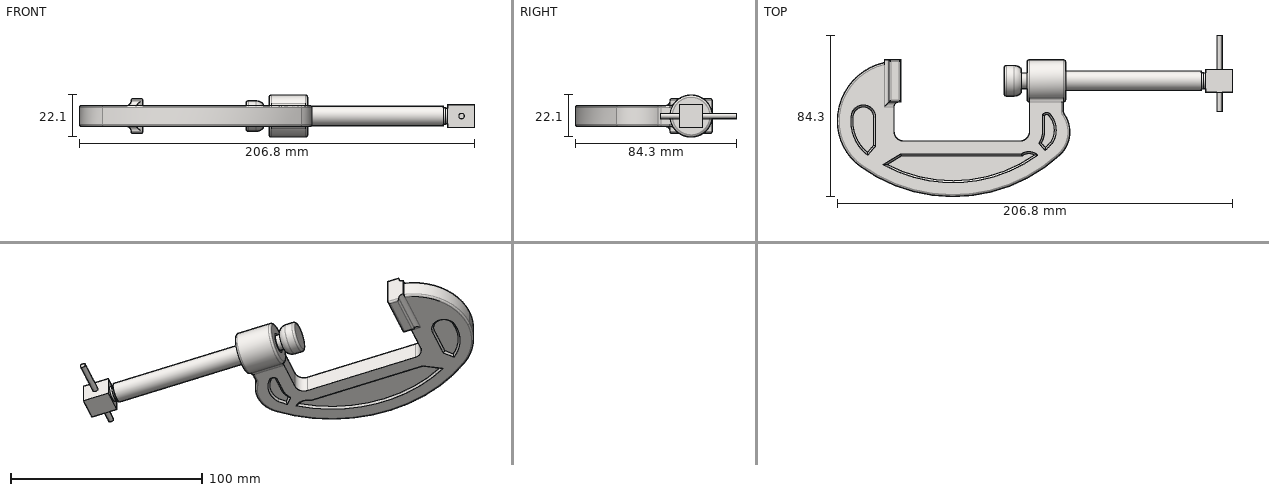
import cadquery as cq
import math


frame_thickness = 11.0
frame_half = frame_thickness / 2
rim_fillet = 1.0
root_fillet = 2.5
inner_left = 29.8
inner_right = 100.5
inner_floor = -31.5
inner_corner_radius = 5.0

bottom_arc_radius = 82.5
frame_bottom = -60.5
lower_left_angle = -126
lower_right_angle = -47.5
left_arc_radius = 29.4
jaw_arc_radius = 31.5
right_arc_radius = 16.5
bottom_arc_x = left_arc_radius - (bottom_arc_radius - left_arc_radius) * math.cos(math.radians(lower_left_angle))
bottom_arc_center = (bottom_arc_x, frame_bottom + bottom_arc_radius)
neck_x = 118.3
neck_fillet = root_fillet

boss_radius = 11.06
boss_edge_fillet = 1.2
boss_left = inner_right - boss_edge_fillet
boss_right = 119.5

jaw_back = 27.0
jaw_face = 33.3
jaw_half_width = boss_radius
jaw_half_height = frame_half + 3.62
jaw_edge_fillet = 1.0

pocket_depth = 1.0
pocket_wall_angle = 45
rim_width = 7.2
inner_margin = 6.8

screw_radius = 5.2
neck_radius = 4.1
pad_left = 87.2
pad_radius = 8.0
pad_edge_fillet = 1.2
pad_shoulder = 92.5
pad_right = 96.3
pad_back_radius = 6.2
pad_back_arc = 5.0
shaft_end = 190.5
groove_end = 191.5
groove_radius = 4.3
head_size = 12.0
head_length = 14.0
screw_right = 206.8
head_left = screw_right - head_length
bar_radius = 1.5
bar_x = 200.0
bar_top = 23.8
bar_length = 40.0


def cylinder_x(x_start, x_end, radius):
    """Round bar along the X axis."""
    return cq.Workplane("YZ").workplane(offset=x_start).circle(radius).extrude(x_end - x_start)


def box(x_start, x_end, y_start, y_end, half_height):
    """Block that is centred on Z = 0."""
    plan = cq.Workplane("XY").moveTo(x_start, y_start).lineTo(x_end, y_start)
    plan = plan.lineTo(x_end, y_end).lineTo(x_start, y_end).close()
    return plan.extrude(half_height, both=True)


def polar(center, radius, angle):
    """Point at an angle in degrees on a circle."""
    turn = math.radians(angle)
    return (center[0] + radius * math.cos(turn), center[1] + radius * math.sin(turn))


def tangent_center(center, radius, angle, next_radius):
    """Centre of the arc that continues smoothly from another arc at the given angle."""
    return polar(center, radius - next_radius, angle)


def make_plate():
    """C-shaped plate with a rounded outer rim."""
    left_center = tangent_center(bottom_arc_center, bottom_arc_radius, lower_left_angle, left_arc_radius)
    right_center = tangent_center(bottom_arc_center, bottom_arc_radius, lower_right_angle, right_arc_radius)
    jaw_center = tangent_center(left_center, left_arc_radius, 180, jaw_arc_radius)
    left_end = polar(left_center, left_arc_radius, 180)
    lower_left = polar(bottom_arc_center, bottom_arc_radius, lower_left_angle)
    lower_right = polar(bottom_arc_center, bottom_arc_radius, lower_right_angle)
    neck_angle = math.degrees(math.acos((neck_x - right_center[0]) / right_arc_radius))
    neck_corner = polar(right_center, right_arc_radius, neck_angle)
    jaw_angle = math.degrees(math.acos((inner_left - jaw_center[0]) / jaw_arc_radius))
    jaw_top = polar(jaw_center, jaw_arc_radius, jaw_angle)

    plate = (
        cq.Workplane("XY")
        .moveTo(*jaw_top)
        .threePointArc(polar(jaw_center, jaw_arc_radius, 135), left_end)
        .threePointArc(polar(left_center, left_arc_radius, -150), lower_left)
        .threePointArc(polar(bottom_arc_center, bottom_arc_radius, -90), lower_right)
        .threePointArc(polar(right_center, right_arc_radius, 0), neck_corner)
        .lineTo(neck_x, 0)
        .lineTo(inner_right, 0)
        .lineTo(inner_right, inner_floor)
        .lineTo(inner_left, inner_floor)
        .close()
        .extrude(frame_half, both=True)
    )
    plate = plate.edges(cq.NearestToPointSelector((*neck_corner, 0))).fillet(neck_fillet)
    for face in (">Z", "<Z"):
        plate = plate.faces(face).edges(cq.NearestToPointSelector((*lower_left, 0))).fillet(rim_fillet)
    corners = plate.edges(cq.NearestToPointSelector((inner_left, inner_floor, 0)))
    corners = corners.add(plate.edges(cq.NearestToPointSelector((inner_right, inner_floor, 0))))
    return corners.fillet(inner_corner_radius)


def make_jaw():
    """Jaw plate on a footing as thick as the frame, with concave fillets between them."""
    jaw = box(jaw_back, jaw_face, -jaw_half_width, jaw_half_width, jaw_half_height)
    jaw = jaw.faces("|Z").edges().fillet(jaw_edge_fillet)
    footing_back = jaw_back - root_fillet
    footing_start = -jaw_half_width - 2 * root_fillet
    jaw = jaw.union(box(footing_back - 2, inner_left, footing_start, jaw_half_width, frame_half))
    roots = [(inner_left, -jaw_half_width, 0)]
    for face_z in (frame_half, -frame_half):
        roots.append((jaw_back, 0, face_z))
        roots.append(((jaw_back + inner_left) / 2, -jaw_half_width, face_z))
    edges = [jaw.edges(cq.NearestToPointSelector(root)).val() for root in roots]
    jaw = jaw.newObject(edges).fillet(root_fillet)
    return jaw.intersect(box(footing_back, jaw_face, footing_start, jaw_half_width, jaw_half_height))


def make_boss():
    """Round boss with rounded ends."""
    boss = cylinder_x(boss_left, boss_right, boss_radius)
    return boss.edges("%CIRCLE").fillet(boss_edge_fillet)


def make_boss_root():
    """Concave fillets that lead from both sides of the plate into the boss."""
    center_z = frame_half + root_fillet
    center_y = -math.sqrt((boss_radius + root_fillet) ** 2 - center_z**2)
    boss_share = boss_radius / (boss_radius + root_fillet)
    boss_y = center_y * boss_share
    boss_z = center_z * boss_share
    return (
        cq.Workplane("YZ", origin=(inner_right, 0, 0))
        .moveTo(center_y, -frame_half)
        .lineTo(center_y, frame_half)
        .radiusArc((boss_y, boss_z), -root_fillet)
        .lineTo(boss_y, -boss_z)
        .radiusArc((center_y, -frame_half), -root_fillet)
        .close()
        .extrude(neck_x - inner_right)
    )


def left_pocket():
    """Outline of the pocket beside the jaw: arched top, left side parallel to the rim."""
    right = inner_left - 9.7
    left = rim_width
    arch_y = -19.0
    arch_x = (left + right) / 2
    arch_radius = (right - left) / 2
    return (
        cq.Workplane("XY")
        .moveTo(right, -34.1)
        .lineTo(right, arch_y)
        .threePointArc((arch_x, arch_y + arch_radius), (left, arch_y))
        .radiusArc((16.0, -38.9), -(left_arc_radius - rim_width))
        .close()
    )


def bottom_pocket():
    """Outline of the long pocket: straight top, lower side parallel to the rim."""
    top = inner_floor - inner_margin
    left_tip = (24.0, -43.8)
    right_tip = (104.8, -38.9)
    return (
        cq.Workplane("XY")
        .moveTo(*left_tip)
        .lineTo(33.3, top)
        .lineTo(96.3, top)
        .threePointArc((100.7, -37.0), right_tip)
        .radiusArc(left_tip, bottom_arc_radius - rim_width)
        .close()
    )


def right_pocket():
    """Outline of the small pocket under the boss, which follows the inner corner and the rim."""
    left = inner_right + inner_margin
    return (
        cq.Workplane("XY")
        .moveTo(105.5, -32.7)
        .radiusArc((left, -27.7), -(inner_corner_radius + inner_margin))
        .lineTo(left, -18.0)
        .threePointArc((109.4, -16.5), (111.6, -17.8))
        .threePointArc((114.5, -25.6), (112.5, -32.7))
        .lineTo(108.8, -36.4)
        .close()
    )


def cut_pockets(frame, outline):
    """Sink one pocket into both sides of the frame."""
    pocket = outline.extrude(-pocket_depth, taper=pocket_wall_angle)
    upper = pocket.translate((0, 0, frame_half))
    return frame.cut(upper).cut(upper.mirror("XY"))


def make_frame():
    """Plate, jaw and boss in one piece, with root fillets, pockets and the screw bore."""
    frame = make_plate().union(make_jaw()).union(make_boss()).union(make_boss_root()).clean()
    for outline in (left_pocket(), bottom_pocket(), right_pocket()):
        frame = cut_pockets(frame, outline)
    return frame.cut(cylinder_x(boss_left, boss_right, screw_radius))


def make_screw():
    """Screw with its pressure pad, square head and cross bar in one piece."""
    pad = (
        cq.Workplane("XY")
        .moveTo(pad_left, 0)
        .lineTo(pad_left, pad_radius - pad_edge_fillet)
        .radiusArc((pad_left + pad_edge_fillet, pad_radius), pad_edge_fillet)
        .lineTo(pad_shoulder, pad_radius)
        .radiusArc((pad_right, pad_back_radius), pad_back_arc)
        .lineTo(pad_right, 0)
        .close()
        .revolve(360, (0, 0, 0), (1, 0, 0))
    )
    screw = pad.union(cylinder_x(pad_right, boss_left, neck_radius))
    screw = screw.union(cylinder_x(boss_left, shaft_end, screw_radius))
    screw = screw.union(cylinder_x(shaft_end, groove_end, groove_radius))
    screw = screw.union(cylinder_x(groove_end, head_left, neck_radius))
    half_head = head_size / 2
    screw = screw.union(box(head_left, screw_right, -half_head, half_head, half_head))
    bar = cq.Workplane("XZ").center(bar_x, 0).circle(bar_radius).extrude(bar_length)
    return screw.union(bar.translate((0, bar_top, 0)))


frame = make_frame()
screw = make_screw()
result = cq.Compound.makeCompound([frame.val(), screw.val()])